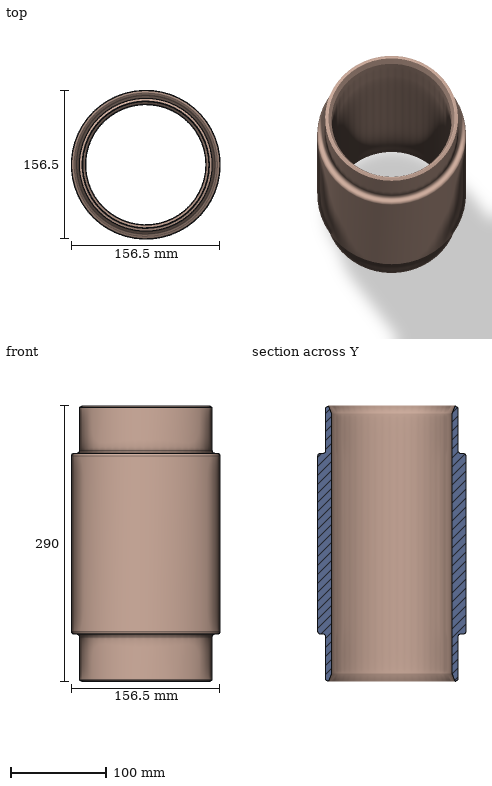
import cadquery as cq

length = 290.0
body_diameter = 156.5
neck_diameter = 139.8
bore_diameter = 126.5
neck_length = 50.0

shoulder_radius = 3.0
end_chamfer_width = 3.0
end_chamfer_height = 1.7
mouth_diameter = 132.8
mouth_depth = 8.0

end_z = length / 2
shoulder_z = end_z - neck_length
neck_radius = neck_diameter / 2
bore_radius = bore_diameter / 2
mouth_radius = mouth_diameter / 2


def centred_cylinder(diameter, height):
    """Cylinder on the Z axis, centred on the origin."""
    return cq.Workplane("XY").cylinder(height, diameter / 2)


def rounded_body():
    """Thick middle section with its outer edges rounded."""
    body = centred_cylinder(body_diameter, 2 * shoulder_z)
    return body.edges("%CIRCLE").fillet(shoulder_radius)


def upper_neck():
    """Upper neck: concave round at the shoulder and a chamfered rim."""
    profile = (
        cq.Workplane("XZ")
        .moveTo(0, shoulder_z)
        .lineTo(neck_radius + shoulder_radius, shoulder_z)
        .radiusArc((neck_radius, shoulder_z + shoulder_radius), shoulder_radius)
        .lineTo(neck_radius, end_z - end_chamfer_height)
        .lineTo(neck_radius - end_chamfer_width, end_z)
        .lineTo(0, end_z)
        .close()
    )
    return profile.revolve(360, (0, 0, 0), (0, 1, 0))


def upper_mouth():
    """Conical flare to be cut from the upper end of the bore."""
    profile = (
        cq.Workplane("XZ")
        .moveTo(0, end_z - mouth_depth)
        .lineTo(bore_radius, end_z - mouth_depth)
        .lineTo(mouth_radius, end_z)
        .lineTo(0, end_z)
        .close()
    )
    return profile.revolve(360, (0, 0, 0), (0, 1, 0))


def at_both_ends(upper_shape):
    """The given upper-end shape together with its mirror image at the lower end."""
    return upper_shape.union(upper_shape.mirror("XY"))


outside = rounded_body().union(at_both_ends(upper_neck()))
bore = centred_cylinder(bore_diameter, length)
result = outside.cut(bore).cut(at_both_ends(upper_mouth()))